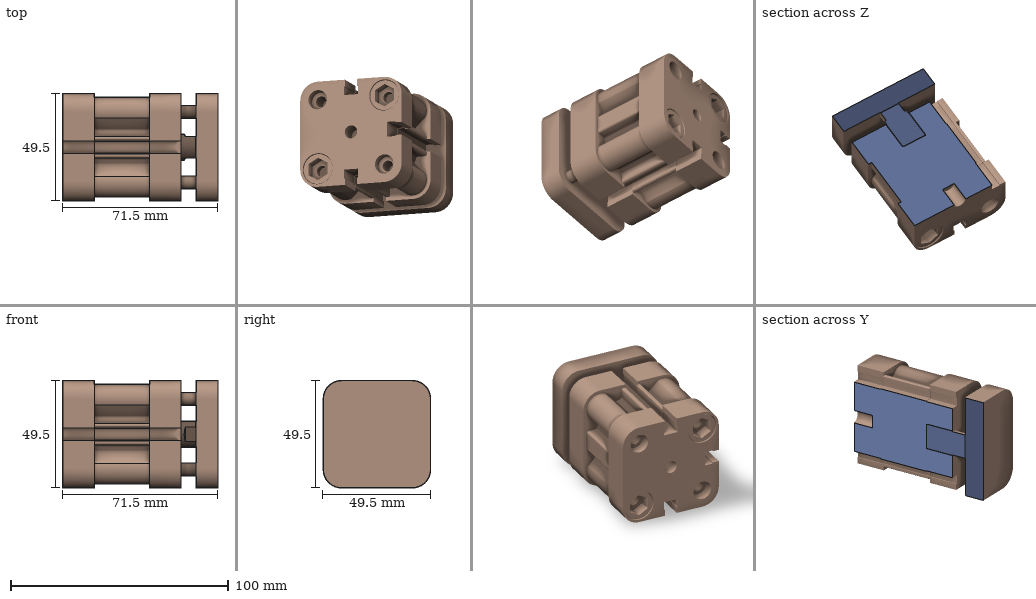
import cadquery as cq
import math

total_length = 71.5
side = 49.5
corner_radius = 8.5
cap_length = 14.5
housing_length = 54.5
tube_length = housing_length - 2 * cap_length
plate_thickness = 10.15
plate_start = total_length - plate_thickness
half_side = side / 2
corner_offset = half_side - corner_radius

screw_corners = [(-1, 1), (1, -1)]
plain_corners = [(1, 1), (-1, -1)]
slot_angles = [0, 90, 180]

tube_half = 23.0
column_radius = tube_half - corner_offset
barrel_radius = 18.65
rail_half_width = 5.0
rail_round = 1.0
pocket_round = 1.0
flank_top_u = 13.5
flank_top_v = corner_offset + math.sqrt(column_radius**2 - (corner_offset - flank_top_u) ** 2)
flank_angle = 45.0
edge_tolerance = 0.1

neck_half = 2.7
box_half = 3.2
lip_bottom = 21.4
slot_floor = 17.8
lip_chamfer_width = 0.5
lip_chamfer_depth = 0.35
cap_slot_clearance = 0.26

center_hole_diameter = 6.1
center_hole_depth = 10.0
mount_bore_diameter = 9.0
mount_bore_depth = 5.0
thread_diameter = 5.1
screw_diameter = 14.0
screw_recess = 0.5
screw_length = 9.5
screw_clearance = 0.3
socket_width = 9.15
socket_depth = 5.6

rod_diameter = 12.0
rod_flat_width = 10.0
rod_flat_start = 56.5
flat_shoulder_angle = 30.0
rod_chamfer = 0.25
guide_rod_diameter = 6.0
rod_seat_start = housing_length - cap_length


def section(x):
    """Sketch plane square to X at the given x, with local axes along Y and Z."""
    return cq.Workplane("YZ", origin=(x, 0, 0))


def about_main_axis(body, angle):
    return body.rotate((0, 0, 0), (1, 0, 0), angle)


def corner_points(corners):
    return [(y * corner_offset, z * corner_offset) for y, z in corners]


def cylinders(x, length, diameter, points):
    return section(x).pushPoints(points).circle(diameter / 2).extrude(length)


def rounded_block(x, length):
    return section(x).rect(side, side).extrude(length).edges("|X").fillet(corner_radius)


def barrel_flank_foot():
    """Point (u, v) where the straight pocket flank runs into the round barrel wall."""
    slope = math.tan(math.radians(flank_angle))
    intercept = flank_top_v - slope * flank_top_u
    root = math.sqrt(barrel_radius**2 * (1 + slope**2) - intercept**2)
    u = (root - slope * intercept) / (1 + slope**2)
    return u, slope * u + intercept


def make_tube_blank():
    """Tube without slots: a barrel with four rails and four corner columns."""
    foot_u, foot_v = barrel_flank_foot()
    rail_foot_v = math.sqrt(barrel_radius**2 - rail_half_width**2)
    column_far = corner_offset + column_radius * math.sqrt(0.5)

    outline = section(cap_length).moveTo(-flank_top_u, flank_top_v)
    for quarter in range(4):
        turn = -quarter * math.pi / 2

        def at(u, v):
            return u * math.cos(turn) - v * math.sin(turn), u * math.sin(turn) + v * math.cos(turn)

        outline = (
            outline.lineTo(*at(-foot_u, foot_v))
            .radiusArc(at(-rail_half_width, rail_foot_v), barrel_radius)
            .lineTo(*at(-rail_half_width, tube_half - rail_round))
            .radiusArc(at(rail_round - rail_half_width, tube_half), rail_round)
            .lineTo(*at(rail_half_width - rail_round, tube_half))
            .radiusArc(at(rail_half_width, tube_half - rail_round), rail_round)
            .lineTo(*at(rail_half_width, rail_foot_v))
            .radiusArc(at(foot_u, foot_v), barrel_radius)
            .lineTo(*at(flank_top_u, flank_top_v))
            .threePointArc(at(column_far, column_far), at(flank_top_v, flank_top_u))
        )
    tube = outline.close().extrude(tube_length)

    def on_barrel(edge):
        center = edge.Center()
        return math.hypot(center.y, center.z) < barrel_radius + edge_tolerance

    return tube.edges("|X").filter(on_barrel).fillet(pocket_round)


def slot_cutter(x, length, clearance):
    """T-shaped sensor slot in the +Z side, enlarged all round by the clearance."""
    neck_height = half_side - lip_bottom
    box_height = lip_bottom - slot_floor + 2 * clearance
    neck = (
        section(x)
        .center(0, lip_bottom + neck_height / 2)
        .rect(2 * (neck_half + clearance), neck_height)
        .extrude(length)
    )
    box = (
        section(x)
        .center(0, (lip_bottom + slot_floor) / 2)
        .rect(2 * (box_half + clearance), box_height)
        .extrude(length)
    )
    return neck.union(box)


def lip_chamfer_cutter():
    """Bevels on both lips of the +Z slot of the tube."""
    return (
        section(cap_length)
        .polyline([
            (-neck_half, tube_half - lip_chamfer_depth),
            (neck_half, tube_half - lip_chamfer_depth),
            (neck_half + lip_chamfer_width, tube_half),
            (-neck_half - lip_chamfer_width, tube_half),
        ])
        .close()
        .extrude(tube_length)
    )


def make_housing():
    front_cap_start = housing_length - cap_length
    rear_cap = rounded_block(0, cap_length)
    front_cap = rounded_block(front_cap_start, cap_length)
    tube = make_tube_blank()
    cap_slot = slot_cutter(0, housing_length, cap_slot_clearance)
    tube_slot = slot_cutter(cap_length, tube_length, 0).union(lip_chamfer_cutter())
    for angle in slot_angles:
        rear_cap = rear_cap.cut(about_main_axis(cap_slot, angle))
        front_cap = front_cap.cut(about_main_axis(cap_slot, angle))
        tube = tube.cut(about_main_axis(tube_slot, angle))
    housing = rear_cap.union(tube).union(front_cap)

    housing = housing.cut(cylinders(0, center_hole_depth, center_hole_diameter, [(0, 0)]))
    plain_points = corner_points(plain_corners)
    screw_points = corner_points(screw_corners)
    housing = housing.cut(cylinders(0, mount_bore_depth, mount_bore_diameter, plain_points))
    housing = housing.cut(cylinders(0, cap_length, thread_diameter, plain_points))
    seat_depth = screw_recess + screw_length
    seat_diameter = screw_diameter + 2 * screw_clearance
    housing = housing.cut(cylinders(0, seat_depth, seat_diameter, screw_points))

    housing = housing.cut(cylinders(front_cap_start, cap_length, rod_diameter, [(0, 0)]))
    return housing.cut(cylinders(front_cap_start, cap_length, guide_rod_diameter, screw_points))


def make_screw(point):
    corner_to_corner = socket_width / math.cos(math.pi / 6)
    socket = (
        section(screw_recess)
        .center(*point)
        .transformed(rotate=(0, 0, 90))
        .polygon(6, corner_to_corner)
        .extrude(socket_depth)
    )
    screw = cylinders(screw_recess, screw_length, screw_diameter, [point])
    return screw.cut(socket).cut(cylinders(screw_recess, screw_length, thread_diameter, [point]))


def make_piston_rod():
    rod = cylinders(rod_seat_start, plate_start - rod_seat_start, rod_diameter, [(0, 0)])
    rod = rod.faces(">X").chamfer(rod_chamfer)
    flat_y = rod_flat_width / 2
    shoulder_run = (half_side - flat_y) * math.tan(math.radians(flat_shoulder_angle))
    flat_cut = (
        cq.Workplane("XY")
        .polyline([
            (rod_flat_start, flat_y),
            (plate_start, flat_y),
            (plate_start, half_side),
            (rod_flat_start - shoulder_run, half_side),
        ])
        .close()
        .extrude(rod_diameter, both=True)
    )
    return rod.cut(flat_cut).cut(flat_cut.mirror("XZ"))


def make_yoke():
    plate = rounded_block(plate_start, plate_thickness)
    guide_length = plate_start - rod_seat_start
    guides = cylinders(rod_seat_start, guide_length, guide_rod_diameter, corner_points(screw_corners))
    return plate.union(guides)


housing = make_housing()
screws = [make_screw(point) for point in corner_points(screw_corners)]
piston_rod = make_piston_rod()
yoke = make_yoke()

result = cq.Compound.makeCompound(
    [housing.val(), piston_rod.val(), yoke.val(), *[screw.val() for screw in screws]]
)